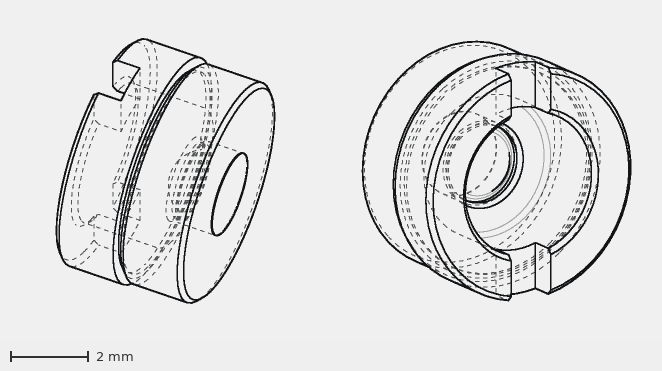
import math

import cadquery as cq

housing_length = 3.55
flange_radius = 3.085
flange_length = 1.66
flange_chamfer = 0.135
groove_radius = 2.745
groove_width = 0.12
barrel_radius = 2.99
barrel_chamfer = 0.125

bore_radius = 1.9
bore_depth = 2.28
bore_chamfer = 0.13
bore_fillet = 0.125
aperture_radius = 1.035
aperture_chamfer = 0.12
web_thickness = 0.245

slot_width = 1.2
slot_depth = 0.765

lens_radius = 1.115
lens_protrusion = 0.025
dome_radius = 0.86
dome_height = 0.555
dome_foot_radius = 0.95

barrel_start = flange_length + groove_width
lens_seat = bore_depth + web_thickness
lens_back = housing_length + lens_protrusion


def revolve_about_x(profile):
    """Turn a closed (X, radius) profile a full revolution about the X axis."""
    return profile.close().revolve(360, (0, 0, 0), (1, 0, 0))


def make_exterior():
    """Flange and barrel separated by a relief groove."""
    profile = (
        cq.Workplane("XY")
        .lineTo(0, flange_radius - flange_chamfer)
        .lineTo(flange_chamfer, flange_radius)
        .lineTo(flange_length, flange_radius)
        .lineTo(flange_length, groove_radius)
        .lineTo(barrel_start, groove_radius)
        .lineTo(barrel_start, barrel_radius - barrel_chamfer)
        .lineTo(barrel_start + barrel_chamfer, barrel_radius)
        .lineTo(housing_length - barrel_chamfer, barrel_radius)
        .lineTo(housing_length, barrel_radius - barrel_chamfer)
        .lineTo(housing_length, 0)
    )
    return revolve_about_x(profile)


def make_cavity():
    """Chamfered bore with a filleted floor, chamfered aperture and lens seat."""
    profile = (
        cq.Workplane("XY")
        .lineTo(0, bore_radius + bore_chamfer)
        .lineTo(bore_chamfer, bore_radius)
        .lineTo(bore_depth - bore_fillet, bore_radius)
        .radiusArc((bore_depth, bore_radius - bore_fillet), bore_fillet)
        .lineTo(bore_depth, aperture_radius + aperture_chamfer)
        .lineTo(bore_depth + aperture_chamfer, aperture_radius)
        .lineTo(lens_seat, aperture_radius)
        .lineTo(lens_seat, lens_radius)
        .lineTo(housing_length, lens_radius)
        .lineTo(housing_length, 0)
    )
    return revolve_about_x(profile)


def make_slot():
    """Slot running through the full height of the slotted face."""
    return cq.Workplane("XY").box(
        slot_depth, slot_width, 2 * flange_radius, centered=(False, True, True)
    )


def make_housing():
    return make_exterior().cut(make_cavity()).cut(make_slot())


def make_lens():
    """Disc with a spherical dome facing the bore and a fillet around the dome's foot."""
    sphere_radius = (dome_radius**2 + dome_height**2) / (2 * dome_height)
    dome_edge_slope = math.asin(dome_radius / sphere_radius)
    foot_fillet = (dome_foot_radius - dome_radius) / math.sin(dome_edge_slope)
    dome_edge = lens_seat - foot_fillet * (1 - math.cos(dome_edge_slope))
    profile = (
        cq.Workplane("XY")
        .moveTo(dome_edge - dome_height, 0)
        .radiusArc((dome_edge, dome_radius), sphere_radius)
        .radiusArc((lens_seat, dome_foot_radius), -foot_fillet)
        .lineTo(lens_seat, lens_radius)
        .lineTo(lens_back, lens_radius)
        .lineTo(lens_back, 0)
    )
    return revolve_about_x(profile)


housing = make_housing()
lens = make_lens()

result = cq.Compound.makeCompound([housing.val(), lens.val()])